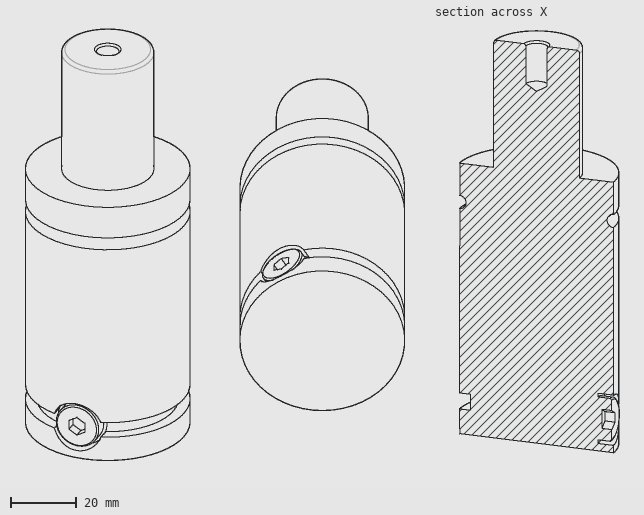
import cadquery as cq
import math

total_height = 128.0
body_radius = 50.0 / 2
body_height = 87.0

base_groove_radius = 21.5
base_groove_bottom = 8.0
base_groove_top = 13.0

round_groove_radius = 2.0
round_groove_height = 74.5

rod_radius = 28.0 / 2
rod_edge_radius = 1.0
hole_diameter = 6.8
hole_depth = 12.8
hole_mouth_diameter = 8.0
drill_point_angle = 118.0

plug_height = 10.5
plug_diameter = 14.0
plug_face = 24.5
plug_chamfer = 0.5
pocket_diameter = 16.0
pocket_floor = 20.0
hex_across_corners = 6.0
hex_depth = 3.2


def make_body():
    """Revolve the body and rod outline, with both grooves, about Z."""
    return (
        cq.Workplane("XZ")
        .moveTo(0, 0)
        .lineTo(body_radius, 0)
        .lineTo(body_radius, base_groove_bottom)
        .lineTo(base_groove_radius, base_groove_bottom)
        .lineTo(base_groove_radius, base_groove_top)
        .lineTo(body_radius, base_groove_top)
        .lineTo(body_radius, round_groove_height - round_groove_radius)
        .threePointArc(
            (body_radius - round_groove_radius, round_groove_height),
            (body_radius, round_groove_height + round_groove_radius),
        )
        .lineTo(body_radius, body_height)
        .lineTo(rod_radius, body_height)
        .lineTo(rod_radius, total_height - rod_edge_radius)
        .radiusArc((rod_radius - rod_edge_radius, total_height), -rod_edge_radius)
        .lineTo(0, total_height)
        .close()
        .revolve(360, (0, 0, 0), (0, 1, 0))
    )


def make_rod_hole():
    """Drilled hole with a conical bottom and a 45 degree mouth chamfer."""
    hole_radius = hole_diameter / 2
    mouth_radius = hole_mouth_diameter / 2
    point_length = hole_radius / math.tan(math.radians(drill_point_angle / 2))
    hole_floor = total_height - hole_depth
    return (
        cq.Workplane("XZ")
        .moveTo(0, total_height)
        .lineTo(mouth_radius, total_height)
        .lineTo(hole_radius, total_height - (mouth_radius - hole_radius))
        .lineTo(hole_radius, hole_floor)
        .lineTo(0, hole_floor - point_length)
        .close()
        .revolve(360, (0, 0, 0), (0, 1, 0))
    )


def plug_plane(distance):
    """Plane facing -Y, centred on the plug axis at a distance from the body axis."""
    return cq.Workplane("XZ", origin=(0, -distance, plug_height))


def make_pocket():
    """Round pocket running from its flat floor out through the body wall."""
    return plug_plane(pocket_floor).circle(pocket_diameter / 2).extrude(body_radius - pocket_floor)


def make_plug():
    """Chamfered plug standing on the pocket floor, with a hexagon socket."""
    plug = (
        plug_plane(pocket_floor)
        .circle(plug_diameter / 2)
        .extrude(plug_face - pocket_floor)
        .faces("<Y")
        .chamfer(plug_chamfer)
    )
    socket = (
        plug_plane(plug_face)
        .transformed(rotate=(0, 0, 90))
        .polygon(6, hex_across_corners)
        .extrude(-hex_depth)
    )
    return plug.cut(socket)


result = make_body().cut(make_rod_hole()).cut(make_pocket()).union(make_plug())